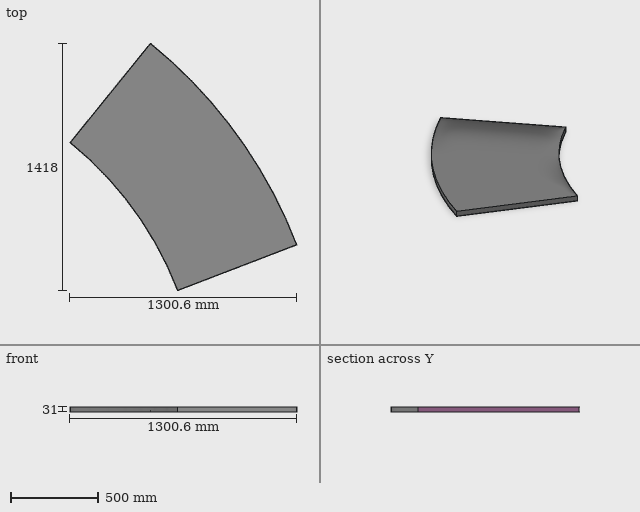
import cadquery as cq
import math

overall_length = 1418.0
thickness = 31.0
outer_radius = 2759.0
start_angle = 21.0
sweep_angle = 30.0

end_angle = start_angle + sweep_angle
middle_angle = start_angle + sweep_angle / 2

outer_corner_y = outer_radius * math.sin(math.radians(end_angle))
inner_corner_y = outer_corner_y - overall_length
inner_radius = inner_corner_y / math.sin(math.radians(start_angle))


def ring_point(radius, angle):
    """Point at the given radius and angle in degrees around the ring's centre."""
    turn = math.radians(angle)
    return (radius * math.cos(turn), radius * math.sin(turn))


result = (
    cq.Workplane("XY")
    .moveTo(*ring_point(inner_radius, start_angle))
    .lineTo(*ring_point(outer_radius, start_angle))
    .threePointArc(ring_point(outer_radius, middle_angle), ring_point(outer_radius, end_angle))
    .lineTo(*ring_point(inner_radius, end_angle))
    .threePointArc(ring_point(inner_radius, middle_angle), ring_point(inner_radius, start_angle))
    .close()
    .extrude(thickness)
)